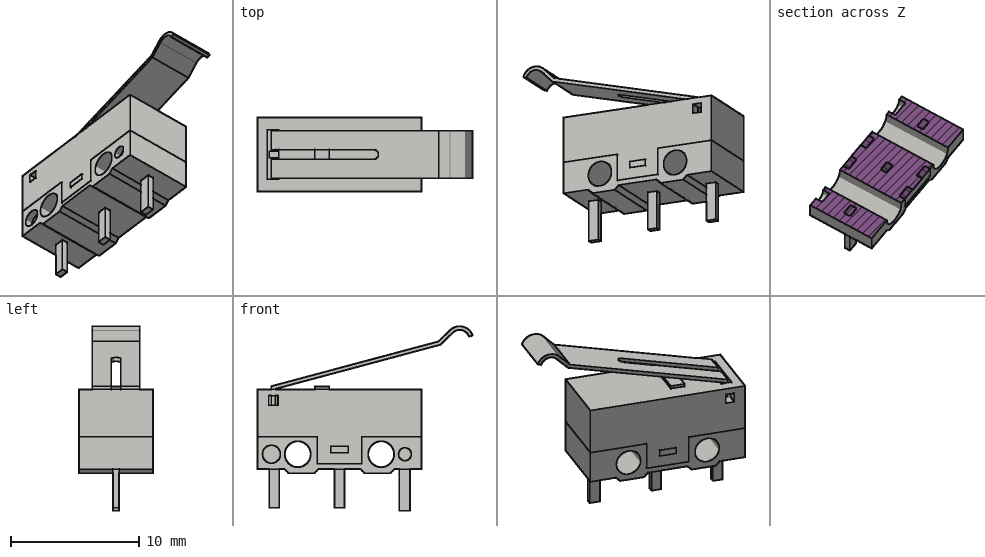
import cadquery as cq
import math


case_length = 12.8
case_width = 5.8
case_height = 6.22
split_z = 2.54

foot_x = 2.96
foot_top_length = 2.66
foot_drop = 0.34

hole_z = 1.16
mount_hole_pitch = 6.5
mount_hole_diameter = 2.0
large_socket_x = -5.3
large_socket_diameter = 1.4
small_socket_x = 5.1
small_socket_diameter = 1.0
socket_depth = 0.6

tongue_length = 3.48
tongue_bottom_z = 0.4
tongue_thickness = 0.5
nub_length = 1.37
nub_height = 0.5
nub_z = 1.54

lever_width = 3.72
lever_thickness = 0.3
lever_back_x = -5.33
lever_corner_z = 6.46
leg_thickness = 0.35
beam_angle = 15.0
kick_angle = 45.0
beam_end_x = 7.72
hook_radius = 1.07
hook_center_x = 9.366
hook_top_z = 11.14
overall_length = 16.78
lever_tip_x = overall_length - case_length / 2
slit_width = 0.74
slit_end_x = 3.04

lever_slot_back_x = -5.62
lever_slot_length = 0.87
lever_slot_width = 3.84
window_x = -5.15
window_length = 0.7
window_bottom_z = 4.98
window_height = 0.74

plunger_x = -1.35
plunger_length = 1.14
plunger_width = 2.8
plunger_rise = 0.22

terminal_pitch = 5.08
terminal_length = 0.8
end_terminal_length = 0.86
terminal_thickness = 0.5
terminal_drop = 3.03
end_terminal_drop = 3.25


def block(length, width, z_low, z_high, x=0.0, y=0.0):
    """Box centred on x and y, spanning z_low to z_high."""
    size_z = z_high - z_low
    return cq.Workplane("XY").box(length, width, size_z).translate((x, y, (z_low + z_high) / 2))


def front_bore(x, diameter, depth):
    """Cylinder running from the front (-Y) face into the case."""
    start = cq.Vector(x, -case_width / 2, hole_z)
    return cq.Workplane(cq.Solid.makeCylinder(diameter / 2, depth, start, cq.Vector(0, 1, 0)))


def make_terminal(x, length, drop, top_z):
    return block(length, terminal_thickness, -drop, top_z, x)


def make_plunger():
    return block(plunger_length, plunger_width, split_z, case_height + plunger_rise, plunger_x)


def side_pair(length, z_low, z_high):
    """Two blocks as thick as the tongues, one flush with each long side of the case."""
    pair_y = (case_width - tongue_thickness) / 2
    pair = cq.Workplane()
    for side in (-1, 1):
        pair = pair.add(block(length, tongue_thickness, z_low, z_high, y=side * pair_y))
    return pair.combine()


def make_nubs():
    """Latch nubs filling the windows of both tongues."""
    return side_pair(nub_length, nub_z - nub_height / 2, nub_z + nub_height / 2)


def make_tongues():
    """Cover tongues on both long sides, reaching down from the joint."""
    return side_pair(tongue_length, tongue_bottom_z, split_z)


def make_foot(x):
    half_top = foot_top_length / 2
    half_bottom = half_top - foot_drop
    outline = [
        (x - half_top, 0),
        (x - half_bottom, -foot_drop),
        (x + half_bottom, -foot_drop),
        (x + half_top, 0),
    ]
    return cq.Workplane("XZ").polyline(outline).close().extrude(case_width / 2, both=True)


def make_base():
    base = block(case_length, case_width, 0, split_z)
    base = base.cut(make_tongues()).union(make_nubs())
    for side in (-1, 1):
        base = base.union(make_foot(side * foot_x))
    for side in (-1, 1):
        base = base.cut(front_bore(side * mount_hole_pitch / 2, mount_hole_diameter, case_width))
    base = base.cut(front_bore(large_socket_x, large_socket_diameter, socket_depth))
    return base.cut(front_bore(small_socket_x, small_socket_diameter, socket_depth))


def make_cover():
    cover = block(case_length, case_width, split_z, case_height)
    cover = cover.union(make_tongues()).cut(make_nubs())
    slot_x = lever_slot_back_x + lever_slot_length / 2
    cover = cover.cut(block(lever_slot_length, lever_slot_width, window_bottom_z, case_height, slot_x))
    window_top_z = window_bottom_z + window_height
    return cover.cut(block(window_length, case_width, window_bottom_z, window_top_z, window_x))


def make_lever():
    """Bent strip: upright leg, rising beam, steeper kick and a curled tip."""
    beam = math.radians(beam_angle)
    kick = math.radians(kick_angle)
    tip_angle = math.acos((lever_tip_x - hook_center_x) / hook_radius)
    hook_center_z = hook_top_z - hook_radius

    def hook_point(radius, angle):
        return (hook_center_x + radius * math.cos(angle), hook_center_z + radius * math.sin(angle))

    beam_end_z = lever_corner_z + (beam_end_x - lever_back_x) * math.tan(beam)
    bisector = (beam + kick) / 2
    miter = lever_thickness / math.cos((kick - beam) / 2)
    inner_bend = (beam_end_x + miter * math.sin(bisector), beam_end_z - miter * math.cos(bisector))
    leg_front_x = lever_back_x + leg_thickness
    under_beam_z = lever_corner_z + leg_thickness * math.tan(beam) - lever_thickness / math.cos(beam)

    inner_radius = hook_radius - lever_thickness
    crown = math.pi / 2
    hook_start = crown + kick
    strip = (
        cq.Workplane("XZ")
        .moveTo(lever_back_x, window_bottom_z)
        .lineTo(lever_back_x, lever_corner_z)
        .lineTo(beam_end_x, beam_end_z)
        .lineTo(*hook_point(hook_radius, hook_start))
        .threePointArc(hook_point(hook_radius, crown), hook_point(hook_radius, tip_angle))
        .lineTo(*hook_point(inner_radius, tip_angle))
        .threePointArc(hook_point(inner_radius, crown), hook_point(inner_radius, hook_start))
        .lineTo(*inner_bend)
        .lineTo(leg_front_x, under_beam_z)
        .lineTo(leg_front_x, window_bottom_z)
        .close()
        .extrude(lever_width / 2, both=True)
    )
    round_x = slit_end_x - slit_width / 2
    slit_length = round_x - lever_back_x
    slit = block(slit_length, slit_width, window_bottom_z, hook_top_z, lever_back_x + slit_length / 2)
    round_end = cq.Workplane("XY").circle(slit_width / 2).extrude(hook_top_z).translate((round_x, 0, 0))
    return strip.cut(slit).cut(round_end)


terminals = [
    make_terminal(-terminal_pitch, terminal_length, terminal_drop, window_bottom_z),
    make_terminal(0, terminal_length, terminal_drop, split_z),
    make_terminal(terminal_pitch, end_terminal_length, end_terminal_drop, split_z),
]
plunger = make_plunger()
lever = make_lever()

base = make_base()
cover = make_cover().cut(plunger)
for terminal in terminals:
    base = base.cut(terminal)
    cover = cover.cut(terminal)

result = cq.Compound.makeCompound(
    [base.val(), cover.val(), lever.val(), plunger.val()] + [terminal.val() for terminal in terminals]
)